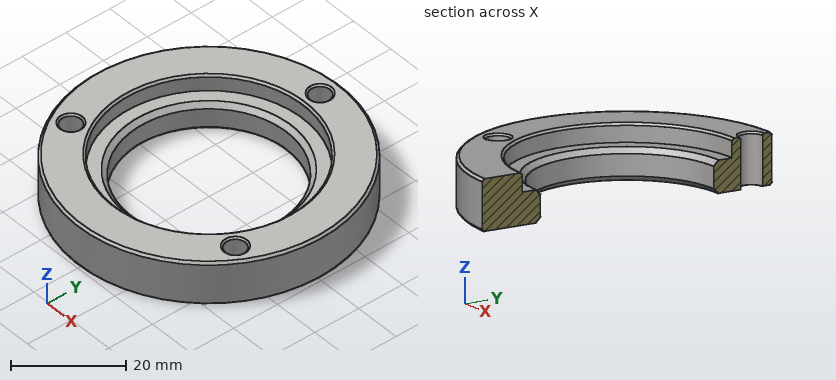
import cadquery as cq

outer_diameter = 59.35
height = 9.55
edge_chamfer = 0.5

recess_diameter = 42.8
recess_depth = 3.5
recess_chamfer = 0.445
bore_diameter = 35.3
bore_chamfer = 1.0
bore_bottom_chamfer = 1.0

hole_count = 3
first_hole_angle = 90.0
hole_diameter = 4.4
hole_chamfer = 0.35
hole_circle_radius = 25.4


def chamfered_cutter(diameter, top, depth, chamfer):
    """Cylinder going down from the top level, flared by a 45 degree chamfer at its mouth."""
    radius = diameter / 2
    return (
        cq.Workplane("XZ")
        .moveTo(0, top)
        .lineTo(radius + chamfer, top)
        .lineTo(radius, top - chamfer)
        .lineTo(radius, top - depth)
        .lineTo(0, top - depth)
        .close()
        .revolve(360, (0, 0, 0), (0, 1, 0))
    )


body = cq.Workplane("XY").circle(outer_diameter / 2).extrude(height)
body = body.edges("%CIRCLE").chamfer(edge_chamfer)

recess_floor = height - recess_depth
body = body.cut(chamfered_cutter(recess_diameter, height, recess_depth, recess_chamfer))
body = body.cut(chamfered_cutter(bore_diameter, recess_floor, recess_floor, bore_chamfer))

body = body.faces("<Z").edges(cq.selectors.RadiusNthSelector(-2)).chamfer(bore_bottom_chamfer)

hole = chamfered_cutter(hole_diameter, height, height, hole_chamfer)
hole = hole.translate((hole_circle_radius, 0, 0))
for index in range(hole_count):
    angle = first_hole_angle + index * 360 / hole_count
    body = body.cut(hole.rotate((0, 0, 0), (0, 0, 1), angle))

result = body